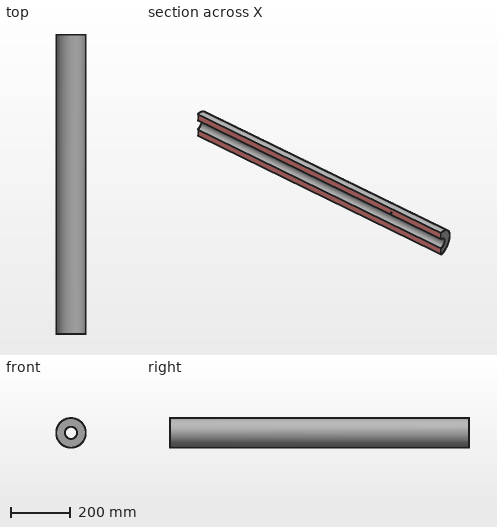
import cadquery as cq

length = 1000.0
outer_diameter = 100.0
bore_diameter = 40.0

result = (
    cq.Workplane("XZ", origin=(0, length / 2, 0))
    .circle(outer_diameter / 2)
    .circle(bore_diameter / 2)
    .extrude(length)
)